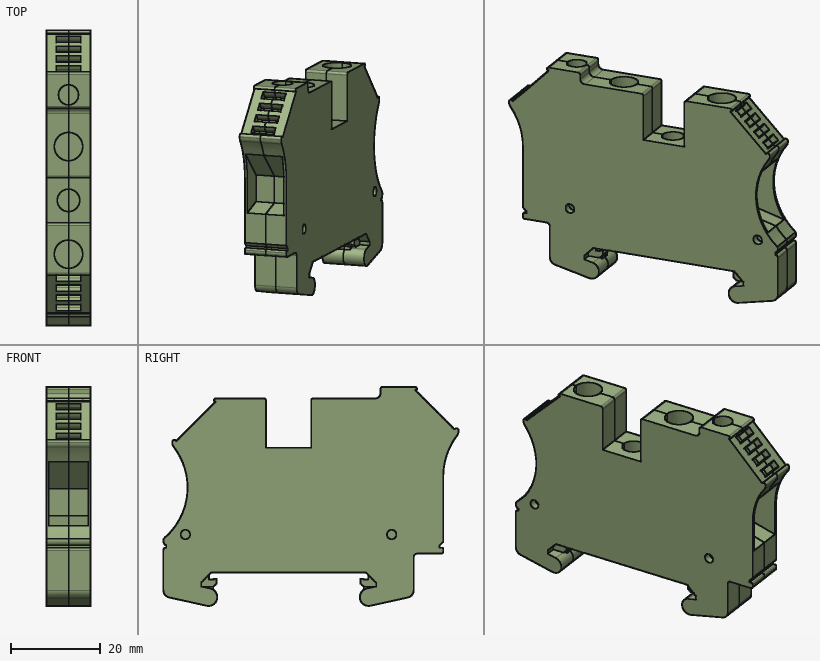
import cadquery as cq
import math


width = 9.9
half_length = 28.0
front_top = 46.4
step_up = 2.6
back_top = front_top + step_up
split_reach = 4 * half_length

head_centre = 6.0
lip_out = 22.7
lip_edge_drop = 0.6
lip_drop = 0.7
slope_start = 22.3
slope_run = 8.8
slope_end = slope_start + slope_run
slope_end_drop = lip_drop + slope_run
bead_out = 32.0
bead_top_drop = 9.25
bead_top_in = 31.35
scoop_radius = 14.9
scoop_out = 28.6
scoop_drop = 19.9
scoop_centre_out = scoop_out + scoop_radius
bead_bottom_drop = scoop_drop - math.sqrt(scoop_radius**2 - (scoop_centre_out - bead_out) ** 2)
nose_setback = 0.1
scoop_foot_out = head_centre + half_length - nose_setback
scoop_foot_drop = scoop_drop + math.sqrt(scoop_radius**2 - (scoop_centre_out - scoop_foot_out) ** 2)

step_y = 20.5
gap_half = 5.0
gap_floor = 35.4

back_wall = head_centre + scoop_out
nose_z = 14.6
nick_top = 14.4
nick_mid = 13.5
nick_bottom = 13.1
front_nick = 0.65
back_nick = 0.85
shelf_z = 11.7

foot_angle = math.radians(12.5)
toe_radius = 2.0
toe_y = 17.9
toe_z = toe_radius
rail_roof = 7.45
rail_half = 17.3
notch_depth = 2.25
notch_y = rail_half + notch_depth
notch_wall_z = rail_roof - notch_depth
seat_z = 4.35
seat_edge = 16.75
seat_width = 2.65

lip_round = 0.5
bead_round = 0.6
bead_under_round = 1.6
nick_round = 0.6
overhang_round = 0.3
step_round = 1.1
block_round = 0.5
shelf_round = 0.7
heel_round = 1.7

screw_y = 12.0
screw_diameter = 6.35
top_holes = [
    (-screw_y, front_top, screw_diameter),
    (screw_y, front_top, screw_diameter),
    (0.0, gap_floor, 5.0),
    (23.55, back_top, 4.5),
]
top_hole_depth = 6.6

slot_count = 4
slot_pitch = 3.1
slot_length = 5.4
slot_opening = 1.85
slot_draft = 13.0
slot_draft_depth = 0.9
slot_depth = 1.7
slot_neck = slot_opening - 2 * slot_draft_depth * math.tan(math.radians(slot_draft))

pocket_width = 8.7
pocket_back = 22.85
pocket_ceiling_drop = 20.2
pocket_floor_drop = 26.3
pocket_mouth_out = 31.3
mouth_ceiling_drop = 12.8
mouth_floor_drop = 28.5

pin_y = 23.05
pin_z = 16.0
pin_diameter = 2.1
pin_recess = 2.0

insert_width = 5.3
insert_face = 17.75
insert_face_z = rail_roof - (insert_face - rail_half)
insert_ledge_z = 5.95
insert_lip_y = 16.7
insert_lip_z = 6.15
insert_tip_y = 16.05
insert_tip_low_z = 5.0


def extrude_across(outline, across):
    """Extrude a closed YZ outline symmetrically about X = 0."""
    return outline.close().extrude(across / 2, both=True)


def round_corner(body, y, z, radius):
    """Round the X-parallel edge at (y, z)."""
    return body.edges("|X").edges(cq.selectors.NearestToPointSelector((0, y, z))).fillet(radius)


def end_point(side, out, drop):
    """Point of the end profile: side -1 is the -Y end, +1 the +Y end."""
    top = front_top if side < 0 else back_top
    return (head_centre + side * out, top - drop)


def head_points(side):
    """Corners of one head from the lip, down the marker slope, to the underside of the bead."""
    profile = [
        (lip_out, 0),
        (lip_out, lip_edge_drop),
        (slope_start, lip_drop),
        (slope_end, slope_end_drop),
        (bead_top_in, bead_top_drop),
        (bead_out, bead_top_drop),
        (bead_out, bead_bottom_drop),
    ]
    return [end_point(side, out, drop) for out, drop in profile]


def toe_tangent(side, upper):
    """Point where the sole (upper = -1) or the top of the hook (upper = 1) meets the round toe."""
    y = toe_y - upper * toe_radius * math.sin(foot_angle)
    return (side * y, toe_z + upper * toe_radius * math.cos(foot_angle))


def heel_z():
    """Height of the sharp heel corner, where the sole reaches the leg's outer face."""
    sole_y, sole_z = toe_tangent(1, -1)
    return sole_z + (half_length - sole_y) * math.tan(foot_angle)


def toe_nose(side):
    """Point of the round toe midway between the two tangent points."""
    return (
        side * (toe_y - toe_radius * math.cos(foot_angle)),
        toe_z - toe_radius * math.sin(foot_angle),
    )


def outer_block():
    """The full-width block with its end profiles, feet and rail opening."""
    scoop_middle = (scoop_out, scoop_drop)
    scoop_bisector = math.asin((scoop_drop - bead_bottom_drop) / scoop_radius) / 2
    scoop_upper = (
        scoop_centre_out - scoop_radius * math.cos(scoop_bisector),
        scoop_drop - scoop_radius * math.sin(scoop_bisector),
    )
    outline = (
        cq.Workplane("YZ")
        .moveTo(-gap_half, gap_floor)
        .lineTo(-gap_half, front_top)
        .polyline(head_points(-1), includeCurrent=True)
        .threePointArc(end_point(-1, *scoop_middle), end_point(-1, scoop_foot_out, scoop_foot_drop))
        .threePointArc((-half_length, nose_z), (-half_length + front_nick, nick_mid))
        .lineTo(-half_length + front_nick, nick_bottom)
        .lineTo(-half_length, nick_bottom)
        .lineTo(-half_length, heel_z())
        .lineTo(*toe_tangent(-1, -1))
        .threePointArc(toe_nose(-1), toe_tangent(-1, 1))
        .lineTo(-notch_y, seat_z)
        .lineTo(-notch_y, notch_wall_z)
        .lineTo(-rail_half, rail_roof)
        .lineTo(rail_half, rail_roof)
        .lineTo(notch_y, notch_wall_z)
        .lineTo(notch_y, seat_z)
        .lineTo(*toe_tangent(1, 1))
        .threePointArc(toe_nose(1), toe_tangent(1, -1))
        .lineTo(half_length, heel_z())
        .lineTo(half_length, shelf_z)
        .lineTo(back_wall, shelf_z)
        .lineTo(back_wall, nick_bottom)
        .lineTo(back_wall - back_nick, nick_bottom)
        .lineTo(back_wall - back_nick, nick_mid)
        .lineTo(back_wall, nick_top)
        .lineTo(*end_point(1, *scoop_middle))
        .threePointArc(end_point(1, *scoop_upper), end_point(1, bead_out, bead_bottom_drop))
        .polyline(head_points(1)[-2::-1], includeCurrent=True)
        .lineTo(step_y, back_top)
        .lineTo(step_y, front_top)
        .lineTo(gap_half, front_top)
        .lineTo(gap_half, gap_floor)
    )
    block = extrude_across(outline, width)
    for side in (-1, 1):
        block = round_corner(block, *end_point(side, lip_out, 0), lip_round)
        block = round_corner(block, *end_point(side, bead_out, bead_top_drop), bead_round)
        block = round_corner(block, *end_point(side, bead_out, bead_bottom_drop), bead_under_round)
        block = round_corner(block, side * gap_half, front_top, block_round)
        block = round_corner(block, side * half_length, heel_z(), heel_round)
    block = round_corner(block, step_y, back_top, block_round)
    block = round_corner(block, step_y, front_top, step_round)
    block = round_corner(block, -half_length, nick_bottom, nick_round)
    block = round_corner(block, back_wall, nick_bottom, overhang_round)
    block = round_corner(block, back_wall, shelf_z, block_round)
    return round_corner(block, half_length, shelf_z, shelf_round)


def insert_seat(side):
    """Flat seat on top of a hook, under the insert; it reaches down into the round toe."""
    outline = (
        cq.Workplane("YZ")
        .moveTo(side * notch_y, seat_z)
        .lineTo(side * seat_edge, seat_z)
        .lineTo(side * seat_edge, toe_z)
        .lineTo(side * notch_y, toe_z)
    )
    return extrude_across(outline, seat_width)


def top_hole(y, face_z, diameter):
    """Blind hole going straight down from a top face."""
    return (
        cq.Workplane("XY", origin=(0, y, face_z))
        .circle(diameter / 2)
        .extrude(-top_hole_depth)
    )


def marker_slot(side, index):
    """One slot square to the end slope: a drafted mouth above a straight neck."""
    along = (index - (slot_count - 1) / 2) * slot_pitch
    offset = along * math.sqrt(0.5)
    middle = (slope_start + slope_end) / 2 + offset
    y, z = end_point(side, middle, lip_drop + middle - slope_start)
    surface = cq.Plane(origin=(0, y, z), xDir=(1, 0, 0), normal=(0, side, 1))
    neck = cq.Workplane(surface).rect(slot_length, slot_neck).extrude(-slot_depth)
    section = cq.Plane(origin=(0, y, z), xDir=(0, 1, -side), normal=(1, 0, 0))
    mouth = (
        cq.Workplane(section)
        .moveTo(-slot_opening / 2, 0)
        .lineTo(slot_opening / 2, 0)
        .lineTo(slot_neck / 2, -slot_draft_depth)
        .lineTo(-slot_neck / 2, -slot_draft_depth)
    )
    return neck.union(extrude_across(mouth, slot_length))


def wire_pocket(side):
    """Funnel-shaped pocket whose sloping floor and ceiling open into the end scoop."""
    outline = (
        cq.Workplane("YZ")
        .moveTo(*end_point(side, pocket_back, pocket_ceiling_drop))
        .lineTo(*end_point(side, pocket_back, pocket_floor_drop))
        .lineTo(*end_point(side, pocket_mouth_out, mouth_floor_drop))
        .lineTo(*end_point(side, pocket_mouth_out, mouth_ceiling_drop))
    )
    return extrude_across(outline, pocket_width)


def pin_cylinder(side, length):
    """Cylinder on a dowel axis, centred on X = 0."""
    return (
        cq.Workplane("YZ")
        .center(side * pin_y, pin_z)
        .circle(pin_diameter / 2)
        .extrude(length / 2, both=True)
    )


def housing():
    """The whole housing before it is parted at X = 0."""
    body = outer_block()
    for side in (-1, 1):
        body = body.union(insert_seat(side))
        body = body.cut(wire_pocket(side))
        body = body.cut(pin_cylinder(side, width))
        for index in range(slot_count):
            body = body.cut(marker_slot(side, index))
    for y, face_z, diameter in top_holes:
        body = body.cut(top_hole(y, face_z, diameter))
    return body


def housing_half(body, side):
    """The part of the housing on one side of X = 0."""
    half_space = cq.Workplane("XY").box(width, split_reach, split_reach)
    return body.intersect(half_space.translate((side * width / 2, 0, 0)))


def dowel_pin(side):
    """Pin across the joint, recessed at both outer faces."""
    return pin_cylinder(side, width - 2 * pin_recess)


def foot_insert(side):
    """Hooked insert that fills the notch of one foot and rests on its seat."""
    outline = (
        cq.Workplane("YZ")
        .moveTo(side * notch_y, seat_z)
        .lineTo(side * notch_y, notch_wall_z)
        .lineTo(side * insert_face, insert_face_z)
        .lineTo(side * insert_face, insert_ledge_z)
        .lineTo(side * insert_lip_y, insert_ledge_z)
        .lineTo(side * insert_lip_y, insert_lip_z)
        .lineTo(side * insert_tip_y, insert_lip_z)
        .lineTo(side * insert_tip_y, insert_tip_low_z)
        .lineTo(side * seat_edge, seat_z)
    )
    return extrude_across(outline, insert_width)


whole_housing = housing()
housing_halves = []
dowel_pins = []
foot_inserts = []
for end in (-1, 1):
    housing_halves.append(housing_half(whole_housing, end).solids().val())
    dowel_pins.append(dowel_pin(end).solids().val())
    foot_inserts.append(foot_insert(end).solids().val())

result = cq.Compound.makeCompound([*housing_halves, *dowel_pins, *foot_inserts])